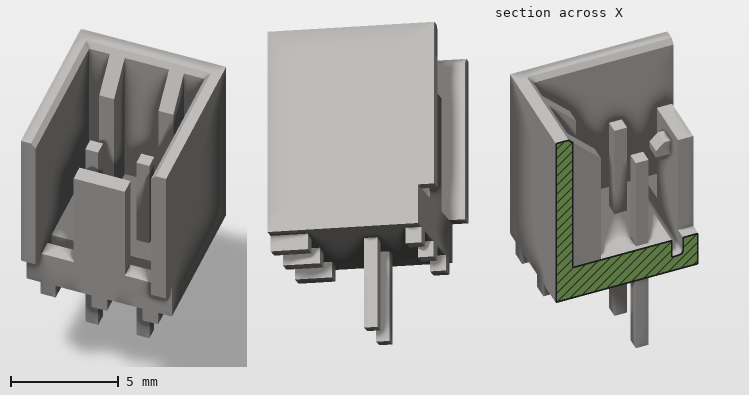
import cadquery as cq


width = 7.21
depth = 7.95
total_height = 13.97
back_y = 4.47
wall_front_y = back_y - depth
wall_overhang = 0.76
base_front_y = wall_front_y + wall_overhang
base_height = 1.86
housing_height = 9.65

side_wall = 0.74
back_wall = 0.88
lead_in = 0.235
cavity_width = width - 2 * side_wall
cavity_back_y = back_y - back_wall

pitch = 2.54
pin_size = 0.64
pin_top = 6.9
pin_bottom = housing_height - total_height

rib_width = 0.74
rib_depth = 1.4
rib_spacing = 2.94

tab_width = 2.54
tab_top = 7.31
tab_thickness = 0.77
tab_back_y = base_front_y + tab_thickness
catch_width = 0.78
catch_reach = 0.74
catch_flat = 0.33
catch_drop = 0.7
catch_top = tab_top - catch_drop
catch_height = 0.8

groove_width = 0.56
groove_depth = 1.0
groove_fillet = 0.235

foot_width = 0.76
foot_height = 0.75
front_foot_length = 0.75
back_foot_length = 1.77


def box(x_center, x_size, y_min, y_max, z_min, z_max):
    """Axis-aligned block centred on x_center in X."""
    block = cq.Workplane("XY").box(x_size, y_max - y_min, z_max - z_min, centered=(True, False, False))
    return block.translate((x_center, y_min, z_min))


def extrude_profile(yz_points, x_center, x_size):
    """Prism with a closed YZ profile, centred on x_center in X."""
    prism = cq.Workplane("YZ").polyline(yz_points).close().extrude(x_size / 2, both=True)
    return prism.translate((x_center, 0, 0))


def make_shroud():
    """Base plate with a three-sided wall whose inner rim is chamfered at 45 degrees."""
    base = box(0, width, base_front_y, back_y, 0, base_height)
    walls = box(0, width, wall_front_y, back_y, base_height, housing_height)
    cavity = box(0, cavity_width, wall_front_y, cavity_back_y, base_height, housing_height)
    walls = walls.cut(cavity)
    rim = cq.selectors.BoxSelector(
        (-cavity_width / 2 - lead_in, wall_front_y - lead_in, housing_height - lead_in),
        (cavity_width / 2 + lead_in, cavity_back_y + lead_in, housing_height + lead_in),
    )
    return base.union(walls.edges(rim).chamfer(lead_in))


def make_rib(x_center):
    """Upright rib whose sloping top continues the chamfer of the back wall."""
    rib_front_y = cavity_back_y - rib_depth
    slope_top = housing_height - lead_in
    profile = [
        (cavity_back_y, base_height),
        (cavity_back_y, slope_top),
        (rib_front_y, slope_top - rib_depth),
        (rib_front_y, base_height),
    ]
    return extrude_profile(profile, x_center, rib_width)


def make_tab():
    """Lock tab, flush with the front of the base."""
    return box(0, tab_width, base_front_y, tab_back_y, base_height, tab_top)


def make_catch():
    """Catch on the back of the tab, with a 45 degree lead-in on top."""
    tip_y = tab_back_y + catch_reach
    profile = [
        (tab_back_y, catch_top),
        (tab_back_y + catch_flat, catch_top),
        (tip_y, catch_top - (catch_reach - catch_flat)),
        (tip_y, catch_top - catch_height),
        (tab_back_y, catch_top - catch_height),
    ]
    return extrude_profile(profile, 0, catch_width)


def make_groove():
    """Cutter for the relief groove, rounded at the bottom beside the tab."""
    groove_floor = base_height - groove_depth
    cutter = box(0, cavity_width, tab_back_y, tab_back_y + groove_width, groove_floor, base_height)
    return cutter.edges("|X and <Y and <Z").fillet(groove_fillet)


def make_feet(x_center):
    """Front and back standoff feet sharing one X position."""
    front = box(x_center, foot_width, base_front_y, base_front_y + front_foot_length, -foot_height, 0)
    back = box(x_center, foot_width, back_y - back_foot_length, back_y, -foot_height, 0)
    return front.union(back)


def make_pin(x_center):
    """Square pin through the base."""
    return box(x_center, pin_size, -pin_size / 2, pin_size / 2, pin_bottom, pin_top)


result = make_shroud().cut(make_groove())
result = result.union(make_tab()).union(make_catch())
for rib_x in (-rib_spacing / 2, rib_spacing / 2):
    result = result.union(make_rib(rib_x))
for foot_x in (-pitch, 0, pitch):
    result = result.union(make_feet(foot_x))
for pin_x in (-pitch / 2, pitch / 2):
    result = result.union(make_pin(pin_x))